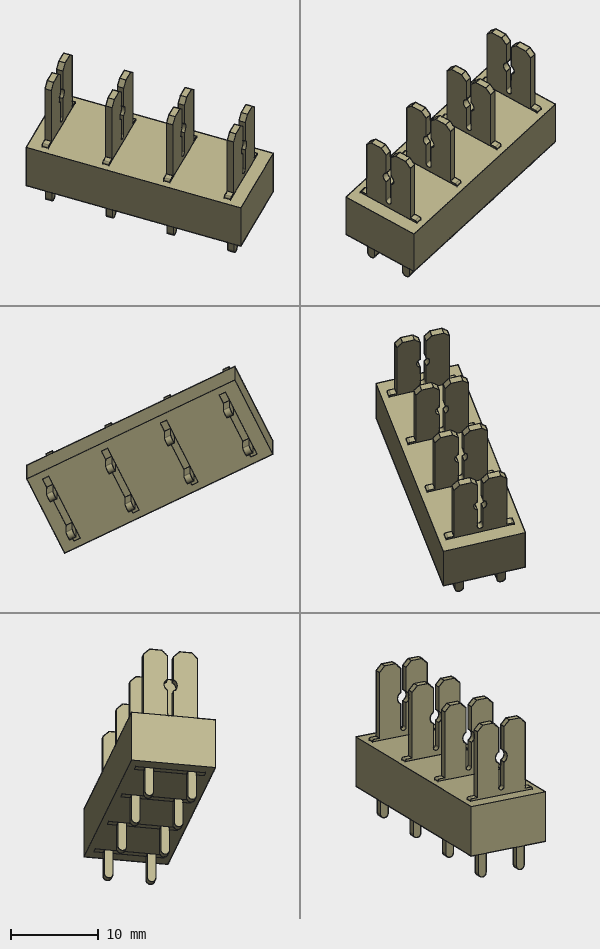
import cadquery as cq

housing_length = 26.5
housing_width = 9.8
housing_height = 6.05

terminal_count = 4
terminal_pitch = 7.5
terminal_thickness = 0.8

base_width = 8.15
base_rise = 0.26
base_corner_radius = 0.25

blade_width = 6.3
blade_rise = 8.95
blade_chamfer = 0.7
slot_width = 0.7
slot_floor_rise = 0.64
detent_hole_diameter = 1.55
detent_hole_rise = 4.65

leg_width = 1.0
leg_spacing = 5.0
leg_length = 3.5

terminal_positions = [
    (index - (terminal_count - 1) / 2) * terminal_pitch for index in range(terminal_count)
]


def plate(width, bottom, top):
    """Upright plate of terminal thickness, centred on X and Y, between two heights."""
    return cq.Workplane("XY").workplane(offset=bottom).rect(terminal_thickness, width).extrude(top - bottom)


def cross_rod(diameter, height):
    """Round rod along X, spanning the terminal thickness at the given height."""
    rod = cq.Workplane("YZ", origin=(-terminal_thickness / 2, 0, height))
    return rod.circle(diameter / 2).extrude(terminal_thickness)


def make_base():
    """Wide plate through the housing with rounded upper corners."""
    base = plate(base_width, 0, housing_height + base_rise)
    return base.edges("|X and >Z").fillet(base_corner_radius)


def make_blade():
    """Two chamfered prongs separated by a round-ended slot with a detent hole."""
    blade_top = housing_height + blade_rise
    slot_radius = slot_width / 2
    slot_centre_height = housing_height + slot_floor_rise + slot_radius
    hole_height = housing_height + detent_hole_rise

    slot = plate(slot_width, slot_centre_height, blade_top)
    slot_end = cross_rod(slot_width, slot_centre_height)
    detent_hole = cross_rod(detent_hole_diameter, hole_height)
    blade = plate(blade_width, housing_height, blade_top).cut(slot)
    blade = blade.edges("|X and >Z").chamfer(blade_chamfer)
    return blade.cut(slot_end).cut(detent_hole)


def make_leg(side):
    """Solder leg with a fully rounded tip, on the -Y (side = -1) or +Y (side = 1) half."""
    leg_radius = leg_width / 2
    tip_centre_height = leg_radius - leg_length
    return (
        cq.Workplane("YZ", origin=(-terminal_thickness / 2, side * leg_spacing / 2, 0))
        .moveTo(-leg_radius, 0)
        .lineTo(-leg_radius, tip_centre_height)
        .threePointArc((0, -leg_length), (leg_radius, tip_centre_height))
        .lineTo(leg_radius, 0)
        .close()
        .extrude(terminal_thickness)
    )


def make_terminal(x):
    """One complete terminal at position x along the row."""
    terminal = make_base().union(make_blade())
    for side in (-1, 1):
        terminal = terminal.union(make_leg(side))
    return terminal.translate((x, 0, 0))


def make_housing():
    """Rectangular block with one through slot for each terminal base."""
    block = cq.Workplane("XY").box(
        housing_length, housing_width, housing_height, centered=(True, True, False)
    )
    for x in terminal_positions:
        block = block.cut(plate(base_width, 0, housing_height).translate((x, 0, 0)))
    return block


housing = make_housing()
terminals = [make_terminal(x) for x in terminal_positions]

result = cq.Compound.makeCompound([housing.val(), *[terminal.val() for terminal in terminals]])